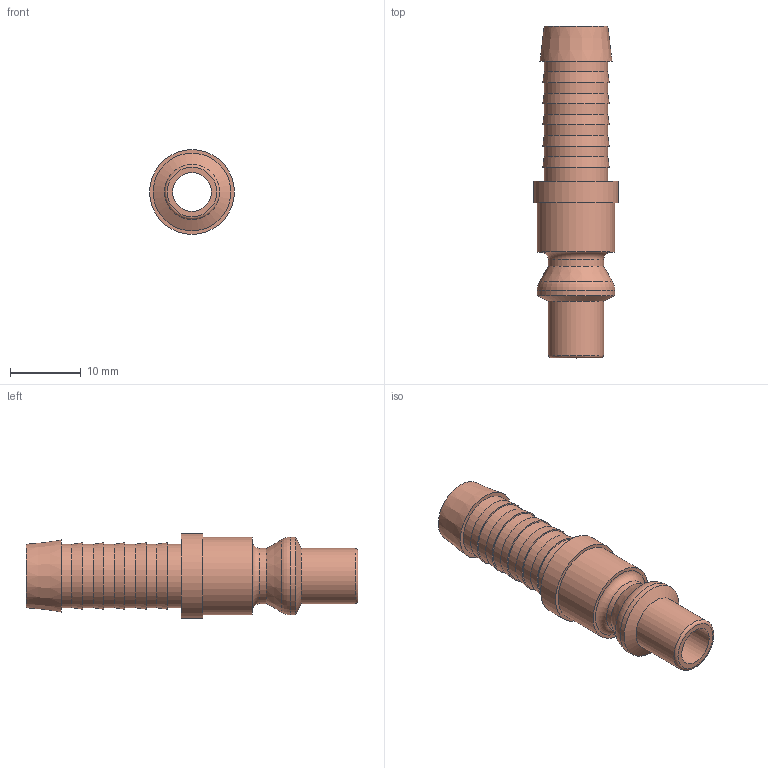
import cadquery as cq
import math


bore_radius = 2.75
plug_radius = 3.9
body_radius = 5.5
flange_radius = 6.0
shank_radius = 4.5
barb_radius = 4.7
end_barb_radius = 5.1

plug_end = 8.0
neck_end = 13.0
body_start = 15.0
flange_start = 22.0
flange_end = 25.0
first_barb = 27.0
end_barb = 42.0
total_length = 47.0

barb_count = 5
barb_pitch = (end_barb - first_barb) / barb_count
barb_length = barb_pitch / 2

collar_lead_length = 0.8
collar_back_angle = math.radians(30)
collar_crest_radius = 2.5
neck_fillet = 1.1
tip_fillet = 0.4


def arc_point(center, radius, angle):
    """Point (radial, axial) on an arc; the angle runs from the radial direction towards +Y."""
    return (center[0] + radius * math.cos(angle), center[1] + radius * math.sin(angle))


def add_plug_tip(outline):
    """Tip face and plug cylinder, with the outer tip edge rounded."""
    center = (plug_radius - tip_fillet, tip_fillet)
    return (
        outline.lineTo(center[0], 0)
        .threePointArc(arc_point(center, tip_fillet, -math.pi / 4), (plug_radius, tip_fillet))
        .lineTo(plug_radius, plug_end)
    )


def add_collar(outline):
    """Latching collar: lead-in cone, short land, rounded crest and sloping back."""
    rise = body_radius - plug_radius
    corner = neck_end - rise / math.tan(collar_back_angle)
    crest_start = corner - collar_crest_radius * math.tan(collar_back_angle / 2)
    center = (body_radius - collar_crest_radius, crest_start)
    return (
        outline.lineTo(body_radius, plug_end + collar_lead_length)
        .lineTo(body_radius, crest_start)
        .threePointArc(
            arc_point(center, collar_crest_radius, collar_back_angle / 2),
            arc_point(center, collar_crest_radius, collar_back_angle),
        )
        .lineTo(plug_radius, neck_end)
    )


def add_body_and_flange(outline):
    """Neck filleted into the body face, then the body and the flange."""
    center = (plug_radius + neck_fillet, body_start - neck_fillet)
    return (
        outline.lineTo(plug_radius, center[1])
        .threePointArc(arc_point(center, neck_fillet, 3 * math.pi / 4), (center[0], body_start))
        .lineTo(body_radius, body_start)
        .lineTo(body_radius, flange_start)
        .lineTo(flange_radius, flange_start)
        .lineTo(flange_radius, flange_end)
        .lineTo(shank_radius, flange_end)
    )


def add_barb(outline, start, crest_radius, length):
    """One barb: shank up to the shoulder, the shoulder, then the taper back to the shank."""
    return (
        outline.lineTo(shank_radius, start)
        .lineTo(crest_radius, start)
        .lineTo(shank_radius, start + length)
    )


def make_part():
    """Revolve the half section, leaving the through bore open."""
    outline = cq.Workplane("XY").moveTo(bore_radius, 0)
    outline = add_plug_tip(outline)
    outline = add_collar(outline)
    outline = add_body_and_flange(outline)
    for index in range(barb_count):
        outline = add_barb(outline, first_barb + index * barb_pitch, barb_radius, barb_length)
    outline = add_barb(outline, end_barb, end_barb_radius, total_length - end_barb)
    outline = outline.lineTo(bore_radius, total_length).close()
    return outline.revolve(360, (0, 0, 0), (0, 1, 0))


result = make_part()